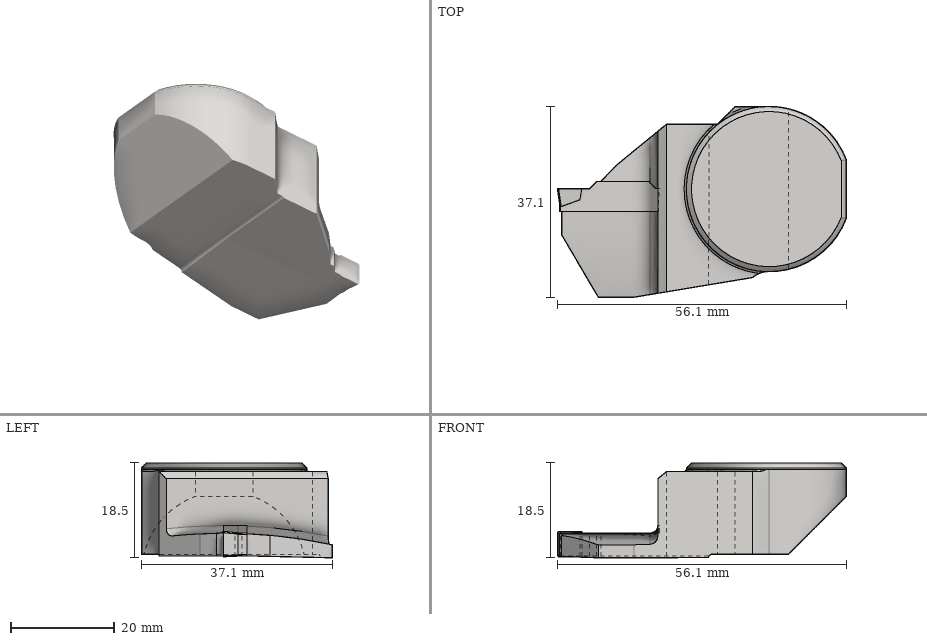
import cadquery as cq
import math

total_height = 18.46
block_top = 16.77
disc_bottom = 17.2
seat_bottom = 0.68
foot_bottom = 0.37
arm_crest = 4.77
ridge_top = 4.8

body_radius = 16.0
disc_radius = 16.05
disc_chamfer = 1.0
disc_cove = 0.55
rear_flat_x = 15.0
rear_slope_start_x = 3.73
waist_radius = 5.0
waist_start_x = -3.24

wall_x = -21.6
block_chamfer_length = 1.7
block_chamfer_height = 1.4
block_corner_x = wall_x + block_chamfer_length
block_side_y = 12.6
shoulder_front_x = -10.0
shoulder_rise = body_radius - block_side_y
foot_end_x = -11.78
foot_step_radius = 0.75

arm_low_y = -21.0
arm_front_x = -40.25
arm_front_corner_y = -8.92
arm_low_front_x = -33.15
arm_low_rear_x = -26.2
arm_crown_radius = 100.0
arm_fillet = 1.5

nose_x = -41.1
nose_y = 0.1
nose_side_x = -40.68
nose_break_y = -2.75
ridge_low_y = -4.4
ridge_high_y = 1.5
ridge_step = ridge_high_y - nose_y
ridge_step_x = -34.85
flank_foot_x = -32.65
flank_bend_x = -29.55
flank_bend_y = 4.7
ridge_wall_gap = 0.4
ridge_end_x = wall_x - ridge_wall_gap
nose_edge_chamfer = 0.25
undercut_low_depth = 0.1
undercut_high_depth = 0.3

tip_rear_x = -36.35
tip_inner_x = -36.7
tip_inner_y = -2.08
tip_low_x = nose_side_x + nose_edge_chamfer
tip_low_y = -3.43
tip_rake_rise = 0.35
tip_foot_drop = 0.17

margin = 5.0


def ridge_prism(low, high):
    """The ridge outline between two heights, reaching slightly under the wall."""
    return (
        cq.Workplane("XY", origin=(0, 0, low))
        .moveTo(nose_x - margin, nose_y)
        .lineTo(ridge_step_x, nose_y)
        .lineTo(ridge_step_x + ridge_step, ridge_high_y)
        .lineTo(ridge_end_x - ridge_step, ridge_high_y)
        .lineTo(ridge_end_x, nose_y)
        .lineTo(wall_x + undercut_high_depth, nose_y)
        .lineTo(wall_x + undercut_low_depth, nose_break_y)
        .lineTo(wall_x + undercut_low_depth, ridge_low_y)
        .lineTo(nose_x - margin, ridge_low_y)
        .close()
        .extrude(high - low)
    )


def holder_blank():
    """Full-height prism on the outline seen along Z."""
    waist_start_y = -body_radius - waist_radius + math.sqrt(waist_radius**2 - waist_start_x**2)
    waist_mid_x = waist_start_x / 2
    waist_mid_y = -body_radius - waist_radius + math.sqrt(waist_radius**2 - waist_mid_x**2)
    rear_flat_y = math.sqrt(body_radius**2 - rear_flat_x**2)
    mid = body_radius / math.sqrt(2)
    return (
        cq.Workplane("XY")
        .moveTo(nose_x, nose_y)
        .lineTo(ridge_step_x, nose_y)
        .lineTo(ridge_step_x + ridge_step, ridge_high_y)
        .lineTo(flank_foot_x, ridge_high_y)
        .lineTo(flank_bend_x, flank_bend_y)
        .lineTo(block_corner_x, block_side_y)
        .lineTo(shoulder_front_x, block_side_y)
        .lineTo(shoulder_front_x + shoulder_rise, body_radius)
        .lineTo(0, body_radius)
        .threePointArc((mid, mid), (rear_flat_x, rear_flat_y))
        .lineTo(rear_flat_x, -rear_flat_y)
        .threePointArc((mid, -mid), (0, -body_radius))
        .threePointArc((waist_mid_x, waist_mid_y), (waist_start_x, waist_start_y))
        .lineTo(arm_low_rear_x, arm_low_y)
        .lineTo(arm_low_front_x, arm_low_y)
        .lineTo(arm_front_x, arm_front_corner_y)
        .lineTo(arm_front_x, ridge_low_y)
        .lineTo(nose_side_x, ridge_low_y)
        .lineTo(nose_side_x, nose_break_y)
        .close()
        .extrude(disc_bottom)
    )


def side_profile():
    """Prism along Y with the block chamfer, stepped underside and rear slope."""
    slope_rise = rear_flat_x - rear_slope_start_x
    step = foot_step_radius
    step_run = math.sqrt(step**2 - (step - seat_bottom) ** 2)
    mid_run = step_run / 3
    mid_drop = step - math.sqrt(step**2 - (step_run - mid_run) ** 2)
    return (
        cq.Workplane("XZ", origin=(0, body_radius + margin, 0))
        .moveTo(nose_x - margin, 0)
        .lineTo(foot_end_x, 0)
        .threePointArc((foot_end_x + mid_run, seat_bottom - mid_drop), (foot_end_x + step_run, seat_bottom))
        .lineTo(rear_slope_start_x, seat_bottom)
        .lineTo(rear_flat_x, seat_bottom + slope_rise)
        .lineTo(rear_flat_x, block_top)
        .lineTo(block_corner_x, block_top)
        .lineTo(wall_x, block_top - block_chamfer_height)
        .lineTo(nose_x - margin, block_top - block_chamfer_height)
        .close()
        .extrude(body_radius - arm_low_y + 2 * margin)
    )


def underside_cut():
    """Material below the underside, which falls gently from the ridge to the low edge."""
    return (
        cq.Workplane("YZ", origin=(nose_x - margin, 0, 0))
        .moveTo(body_radius + margin, -margin)
        .lineTo(body_radius + margin, foot_bottom)
        .lineTo(ridge_low_y, foot_bottom)
        .lineTo(arm_low_y, 0)
        .lineTo(arm_low_y, -margin)
        .close()
        .extrude(foot_end_x + foot_step_radius - nose_x + margin)
    )


def arm_clearance():
    """Space above the crowned arm, rounded into the wall and levelled along the ridge."""
    half_width = body_radius + 2 * margin
    edge_z = arm_crest - arm_crown_radius + math.sqrt(arm_crown_radius**2 - half_width**2)
    above_crown = (
        cq.Workplane("YZ", origin=(nose_x - margin, 0, 0))
        .moveTo(-half_width, edge_z)
        .threePointArc((0, arm_crest), (half_width, edge_z))
        .lineTo(half_width, total_height)
        .lineTo(-half_width, total_height)
        .close()
        .extrude(wall_x - nose_x + margin)
        .faces(">X")
        .edges("%CIRCLE")
        .fillet(arm_fillet)
    )
    ridge = ridge_prism(0, ridge_top)
    above_ridge = ridge_prism(ridge_top, arm_crest + arm_fillet)
    return above_crown.cut(ridge).union(above_ridge)


def disc():
    """Chamfered disc with a rear flat."""
    flat_y = math.sqrt(disc_radius**2 - rear_flat_x**2)
    return (
        cq.Workplane("XY", origin=(0, 0, disc_bottom))
        .moveTo(rear_flat_x, -flat_y)
        .lineTo(rear_flat_x, flat_y)
        .threePointArc((-disc_radius, 0), (rear_flat_x, -flat_y))
        .close()
        .extrude(total_height - disc_bottom)
        .faces(">Z")
        .chamfer(disc_chamfer)
    )


def disc_neck():
    """Round stretch below the disc, flared by the cove down to the block top."""
    cove_height = disc_bottom - block_top
    neck_root = block_top - block_chamfer_height
    sag = 1 - math.sqrt(0.5)
    return (
        cq.Workplane("XZ")
        .moveTo(0, neck_root)
        .lineTo(disc_radius + disc_cove, neck_root)
        .lineTo(disc_radius + disc_cove, block_top)
        .threePointArc(
            (disc_radius + sag * disc_cove, block_top + sag * cove_height),
            (disc_radius, disc_bottom),
        )
        .lineTo(0, disc_bottom)
        .close()
        .revolve(360, (0, 0, 0), (0, 1, 0))
    )


def tip_outline():
    """Full-height prism on the tip outline."""
    return (
        cq.Workplane("XY")
        .moveTo(nose_x, nose_y)
        .lineTo(tip_rear_x, nose_y)
        .lineTo(tip_inner_x, tip_inner_y)
        .lineTo(tip_low_x, tip_low_y)
        .lineTo(nose_side_x, nose_break_y)
        .close()
        .extrude(block_top)
    )


def nose_edge_wedge(edge_z, inward):
    """Triangular prism along Y that bevels one front edge of the nose."""
    return (
        cq.Workplane("XZ", origin=(0, nose_y, 0))
        .moveTo(nose_side_x, edge_z)
        .lineTo(nose_side_x + nose_edge_chamfer, edge_z)
        .lineTo(nose_side_x, edge_z + inward * nose_edge_chamfer)
        .close()
        .extrude(nose_y - ridge_low_y)
    )


def make_holder():
    """Block, arm and disc in one piece, with a seat cut out for the tip."""
    holder = (
        holder_blank()
        .intersect(side_profile().union(disc_neck()))
        .cut(arm_clearance())
        .cut(underside_cut())
        .union(disc())
    )
    for edge_z, inward in ((ridge_top, -1), (foot_bottom, 1)):
        holder = holder.cut(nose_edge_wedge(edge_z, inward))
    return holder.cut(tip_outline())


def make_tip():
    """Tip whose top rises and whose bottom falls towards the cutting corner."""
    tip_side = (
        cq.Workplane("YZ", origin=(nose_x, 0, 0))
        .moveTo(tip_low_y, foot_bottom)
        .lineTo(nose_y, foot_bottom - tip_foot_drop)
        .lineTo(nose_y, ridge_top + tip_rake_rise)
        .lineTo(tip_low_y, ridge_top)
        .close()
        .extrude(tip_rear_x - nose_x)
    )
    tip = tip_outline().intersect(tip_side)
    front_middle = ((nose_x + nose_side_x) / 2, (nose_y + nose_break_y) / 2, ridge_top / 2)
    front_face = tip.faces(cq.selectors.NearestToPointSelector(front_middle))
    return front_face.edges("not |Z").chamfer(nose_edge_chamfer)


holder = make_holder()
tip = make_tip()
result = cq.Compound.makeCompound([holder.val(), tip.val()])